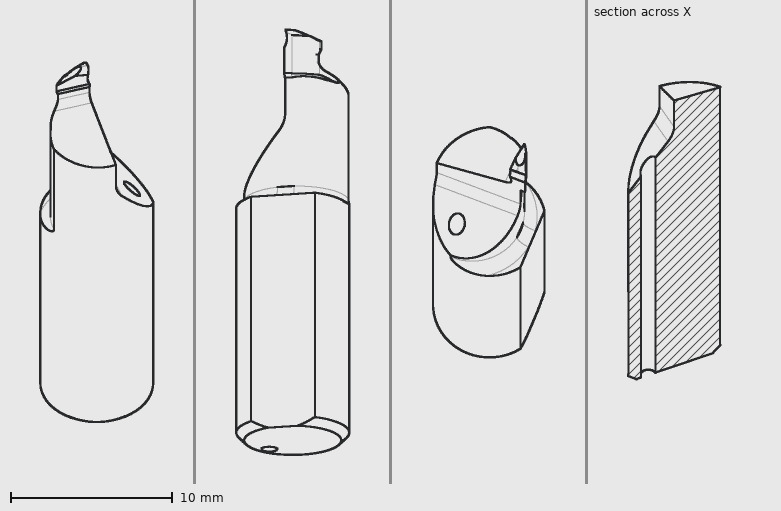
import cadquery as cq
import math

total_length = 26.0
shank_diameter = 7.0
shank_radius = shank_diameter / 2
flat_x = -2.85
end_chamfer = 0.5

neck_radius = 3.25
neck_center_x = 1.17
shoulder_z = 15.03
cove_radius = 0.78
cove_facet_half_width = 0.52

rake_y = 0.04
ramp_corner_z = 19.95
ramp_angle = 40.0
ramp_blend_radius = 1.72

coolant_x = 1.45
coolant_y = 1.8
coolant_diameter = 1.0

blade_bottom_z = 22.85
blade_outer_x = -2.4
land_end = (-2.24, -0.42)
flank_mid = (-1.98, -1.22)
flank_corner = (-1.55, -2.03)
heel_mid = (-1.0, -2.55)
heel_end = (-0.29, -2.95)
blade_bottom_chamfer = 0.2
blade_inner_x = -1.45
blade_head_x = -1.33
blade_head_z = 24.83
blade_neck_z = 24.45
tip_round = 0.47
top_relief_angle = 24.0

top_low_z = 22.23
top_slope = 15.0
top_blend_radius = 0.55
side_relief_angle = 3.7
fall_angle = 2.6

groove_depth = 0.15
groove_bottom_z = 24.7
groove_mid_z = 25.53

pick_tolerance = 0.03
margin = 2.6
reach = 4 * shank_radius
cove_top_z = shoulder_z + cove_radius


def make_bar():
    bar = cq.Workplane("XY").circle(shank_radius).extrude(total_length)
    bar = bar.faces("<Z").chamfer(end_chamfer)
    beyond_flat = cq.Workplane("XY").box(
        margin, reach, total_length, centered=(False, True, False)
    )
    return bar.cut(beyond_flat.translate((flat_x - margin, 0, 0)))


def cove_outline(surface, outward):
    """Quarter-round cove below a vertical wall, opened outwards and upwards."""
    bend = cove_radius * (1 - math.sqrt(0.5))
    return (
        cq.Workplane("XZ")
        .moveTo(surface, cove_top_z)
        .threePointArc(
            (surface + outward * bend, shoulder_z + bend),
            (surface + outward * cove_radius, shoulder_z),
        )
        .lineTo(surface + outward * reach, shoulder_z)
    )


def make_neck_cutter():
    outline = cove_outline(neck_radius, 1)
    outline = outline.lineTo(reach + neck_radius, total_length + margin)
    outline = outline.lineTo(neck_radius, total_length + margin).close()
    return outline.revolve(360, (0, 0, 0), (0, 1, 0)).translate((neck_center_x, 0, 0))


def make_cove_facet_cutter():
    facet_x = neck_center_x - math.sqrt(neck_radius**2 - cove_facet_half_width**2)
    outline = cove_outline(facet_x, -1).lineTo(facet_x - reach, cove_top_z).close()
    bottom_half_width = cove_facet_half_width * (1 + cove_radius / neck_radius)
    return outline.extrude(bottom_half_width, both=True)


def make_tip_corner_cutter():
    """Outside of a quarter round that follows the flank along the outer tip corner."""
    flank_run = (flank_corner[0] - land_end[0], flank_corner[1] - land_end[1], 0)
    inward = (-flank_run[1], flank_run[0], 0)
    bend = tip_round * (1 - math.sqrt(0.5))
    corner_plane = cq.Plane(origin=(*land_end, total_length), xDir=inward, normal=flank_run)
    return (
        cq.Workplane(corner_plane)
        .moveTo(tip_round, 0)
        .threePointArc((bend, -bend), (0, -tip_round))
        .lineTo(-margin, -tip_round)
        .lineTo(-margin, margin)
        .lineTo(tip_round, margin)
        .close()
        .extrude(reach, both=True)
    )


def make_blade():
    """Oversize blade blank: chamfered below, rounded and relieved at the tip."""
    blank = (
        cq.Workplane("XY", origin=(0, 0, blade_bottom_z))
        .moveTo(heel_end[0], rake_y)
        .lineTo(blade_outer_x, rake_y)
        .lineTo(*land_end)
        .threePointArc(flank_mid, flank_corner)
        .threePointArc(heel_mid, heel_end)
        .close()
        .extrude(total_length - blade_bottom_z)
    )
    outer_bottom = cq.selectors.BoxSelector(
        (blade_outer_x - pick_tolerance, heel_end[1], blade_bottom_z - pick_tolerance),
        (flank_corner[0], -pick_tolerance, blade_bottom_z + pick_tolerance),
    )
    blank = blank.edges(outer_bottom).chamfer(blade_bottom_chamfer)
    blank = blank.cut(make_tip_corner_cutter())

    tip_envelope = (
        cq.Workplane("XY")
        .box(blade_head_x - blade_outer_x, reach, total_length, centered=(False, True, False))
        .edges("|Y and >Z and >X")
        .fillet(tip_round)
        .translate((blade_outer_x, 0, 0))
    )
    below_head = cq.Workplane("XY").box(reach, reach, blade_head_z, centered=(True, True, False))
    blank = blank.intersect(tip_envelope.union(below_head))

    relief_drop = reach * math.tan(math.radians(top_relief_angle))
    relief = (
        cq.Workplane("YZ")
        .moveTo(land_end[1], total_length)
        .lineTo(land_end[1] - reach, total_length - relief_drop)
        .lineTo(land_end[1] - reach, total_length)
        .close()
        .extrude(reach, both=True)
    )
    return blank.cut(relief)


def make_top_cutter():
    """Space beside the blade and above the sloped neck top."""
    slope = math.tan(math.radians(top_slope))

    def top_z(x):
        return top_low_z + (shank_radius - x) * slope

    tangent = top_blend_radius * math.tan(math.radians(45 - top_slope / 2))
    blend_start = (blade_inner_x, top_z(blade_inner_x) + tangent)
    blend_end_x = blade_inner_x + tangent * math.cos(math.radians(top_slope))
    direction = (
        -math.tan(math.radians(side_relief_angle)),
        -1,
        -math.tan(math.radians(fall_angle)),
    )
    across = (1, direction[0], 0)
    return (
        cq.Workplane(cq.Plane(origin=(0, 0, 0), xDir=across, normal=direction))
        .moveTo(blade_head_x, total_length + margin)
        .lineTo(blade_head_x, blade_head_z)
        .lineTo(blade_inner_x, blade_neck_z)
        .lineTo(*blend_start)
        .radiusArc((blend_end_x, top_z(blend_end_x)), -top_blend_radius)
        .lineTo(reach, top_z(reach))
        .lineTo(reach, total_length + margin)
        .close()
        .extrude(shank_radius + margin, both=True)
    )


def make_rake_cutter():
    angle = math.radians(ramp_angle)
    tangent = ramp_blend_radius * math.tan(angle / 2)
    blend_end = (rake_y + tangent * math.sin(angle), ramp_corner_z - tangent * math.cos(angle))
    ramp_end_z = ramp_corner_z - (reach - rake_y) / math.tan(angle)
    return (
        cq.Workplane("YZ")
        .moveTo(rake_y, total_length + margin)
        .lineTo(rake_y, ramp_corner_z + tangent)
        .radiusArc(blend_end, -ramp_blend_radius)
        .lineTo(reach, ramp_end_z)
        .lineTo(reach, total_length + margin)
        .close()
        .extrude(reach, both=True)
    )


def make_chip_groove():
    return (
        cq.Workplane("YZ")
        .moveTo(rake_y, groove_bottom_z)
        .threePointArc((rake_y - groove_depth, groove_mid_z), (rake_y, total_length))
        .close()
        .extrude(reach, both=True)
    )


neck_and_shank = make_bar().cut(make_neck_cutter()).cut(make_cove_facet_cutter())
neck_top = cq.Workplane("XY").box(
    blade_inner_x + reach, reach, margin + total_length, centered=(False, True, False)
)
neck_top = neck_top.translate((-reach, 0, blade_bottom_z + blade_bottom_chamfer))
above_neck = cq.Workplane("XY", origin=(0, 0, blade_head_z)).rect(reach, reach).extrude(margin)
neck_and_shank = neck_and_shank.cut(neck_top).cut(above_neck)

coolant_hole = (
    cq.Workplane("XY")
    .center(coolant_x, coolant_y)
    .circle(coolant_diameter / 2)
    .extrude(total_length)
)

result = (
    neck_and_shank.union(make_blade())
    .cut(make_top_cutter())
    .cut(make_rake_cutter())
    .cut(make_chip_groove())
    .cut(coolant_hole)
)